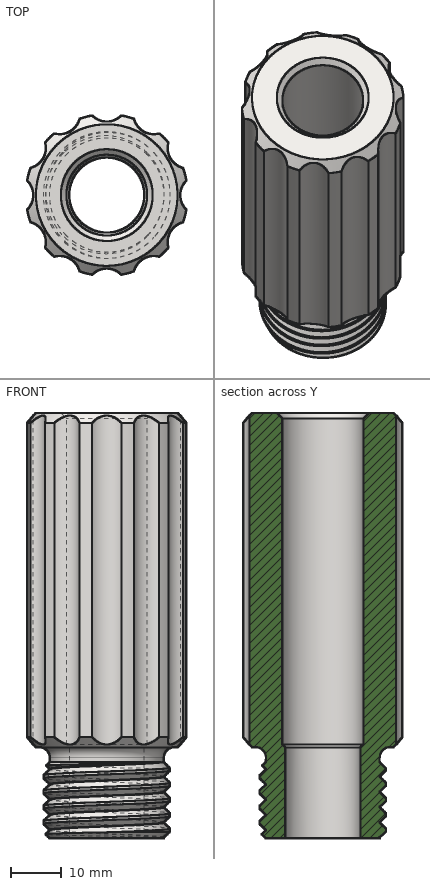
import cadquery as cq
import math

total_length = 84.0
body_bottom = 18.0
body_radius = 32.0 / 2
body_chamfer = 2.0
flute_count = 12
flute_radius = 4.0
flute_floor_radius = 14.5

neck_radius = 22.6 / 2
neck_fillet = 2.0

thread_length = 15.0
crest_radius = 25.0 / 2
pitches_in_length = 5
pitch = thread_length / pitches_in_length
crest_width = 0.6
root_width = 0.1
groove_phase = 0.135
groove_turns = pitches_in_length + 1
groove_overshoot = 0.2

entry_radius = 16.0 / 2
bore_radius = 14.8 / 2
entry_chamfer = 1.1
step_height = body_bottom


def make_grip():
    """Chamfered cylinder with round flutes along its full length."""
    grip = (
        cq.Workplane("XY")
        .workplane(offset=body_bottom)
        .circle(body_radius)
        .extrude(total_length - body_bottom)
        .edges()
        .chamfer(body_chamfer)
    )
    flutes = (
        cq.Workplane("XY")
        .workplane(offset=body_bottom)
        .polarArray(flute_floor_radius + flute_radius, 0, 360, flute_count)
        .circle(flute_radius)
        .extrude(total_length - body_bottom)
    )
    return grip.cut(flutes)


def make_neck():
    """Plain neck that flares into the underside of the grip."""
    arc_offset = neck_fillet * (1 - math.sqrt(0.5))
    return (
        cq.Workplane("XZ")
        .moveTo(0, thread_length)
        .lineTo(neck_radius, thread_length)
        .lineTo(neck_radius, body_bottom - neck_fillet)
        .threePointArc(
            (neck_radius + arc_offset, body_bottom - arc_offset),
            (neck_radius + neck_fillet, body_bottom),
        )
        .lineTo(0, body_bottom)
        .close()
        .revolve(360, (0, 0, 0), (0, 1, 0))
    )


def make_groove_turn():
    """One full turn of the V groove, bounded by ruled faces between helices."""
    root_half = root_width / 2
    crest_half = (pitch - crest_width) / 2
    flank_slope = (crest_half - root_half) / (crest_radius - neck_radius)
    outer_half = crest_half + flank_slope * groove_overshoot
    outer_radius = crest_radius + groove_overshoot
    corners = [
        (neck_radius, -root_half),
        (outer_radius, -outer_half),
        (outer_radius, outer_half),
        (neck_radius, root_half),
    ]
    helices = [
        cq.Wire.makeHelix(pitch, pitch, radius, center=cq.Vector(0, 0, height)).Edges()[0]
        for radius, height in corners
    ]
    faces = []
    for index, helix in enumerate(helices):
        next_helix = helices[(index + 1) % len(helices)]
        faces.append(cq.Face.makeRuledSurface(helix, next_helix))
    for end in (0, 1):
        end_points = [helix.positionAt(end) for helix in helices]
        faces.append(cq.Face.makeFromWires(cq.Wire.makePolygon(end_points, close=True)))
    turn = cq.Solid.makeSolid(cq.Shell.makeShell(faces)).fix()
    return cq.Workplane(obj=turn)


def make_thread():
    """Cylinder chamfered to the root at both ends, with a helical V groove."""
    thread = (
        cq.Workplane("XY")
        .circle(crest_radius)
        .extrude(thread_length)
        .edges()
        .chamfer(crest_radius - neck_radius)
    )
    turn = make_groove_turn()
    for index in range(groove_turns):
        height = groove_phase + (index - 1) * pitch
        thread = thread.cut(turn.translate((0, 0, height)))
    return thread


def make_bore():
    """Through bore: chamfered wide entry, then a conical step to the narrow end."""
    step = entry_radius - bore_radius
    return (
        cq.Workplane("XZ")
        .polyline([
            (0, 0),
            (bore_radius, 0),
            (bore_radius, step_height),
            (entry_radius, step_height + step),
            (entry_radius, total_length - entry_chamfer),
            (entry_radius + entry_chamfer, total_length),
            (0, total_length),
        ])
        .close()
        .revolve(360, (0, 0, 0), (0, 1, 0))
    )


result = make_grip().union(make_neck()).union(make_thread()).cut(make_bore())